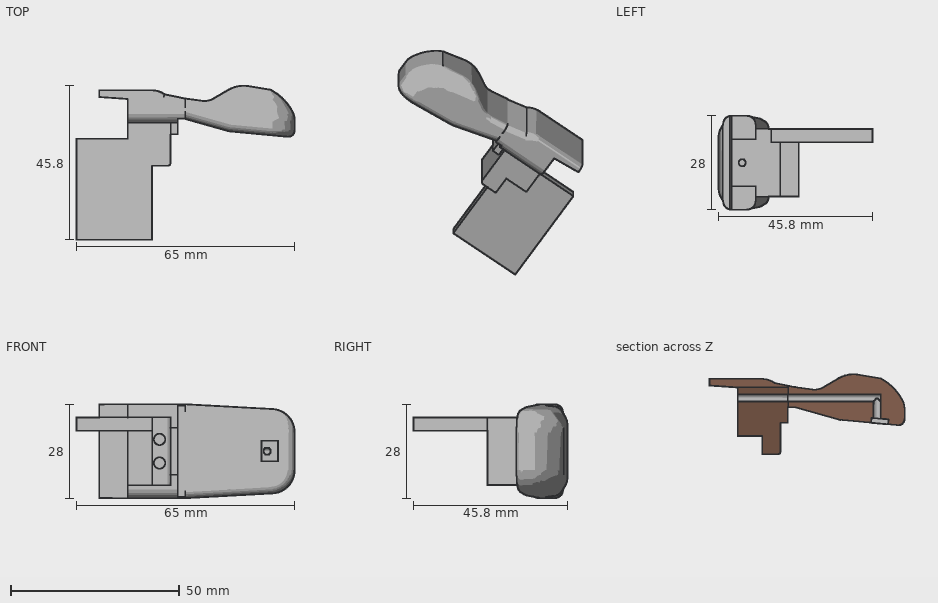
import cadquery as cq
import math


block_left = 15.25
tongue_right = 30.2
tongue_half_width = 6.95
slot_floor_y = 7.0
wire_hole_diameter = 2.1
wire_hole_y = 3.95
outlet_x = 56.7

plate_left = 6.8
back_y = 9.7
plate_edge_y = 7.6
back_bend = [(22.4, back_y), (26.3, 8.45)]
neck_x = 32.35
neck_back_y = 7.2
neck_front_y = 1.1
handle_width = 28.0
handle_half_width = handle_width / 2
root_round = 2.6

tip_x = 64.95
waist = (39.2, 6.3)
crown = (48.0, 11.4)
waist_round = 5.0
crown_round = 9.1
crown_slope = 9.4
grip_bend = (45.45, -2.6)
grip_end = (tip_x, -4.4)
grip_bend_round = 5.0
tip_half_width = 12.2
head_round = 2.0

tail_start = (tip_x, 0.8)
tail_bend = (64.35, 3.2)
tail_end = (58.45, 9.4)
tail_slope = 30.6
corner_round = 7.0

dome_radius = 16.2
dome_half_width = 14.3
dome_slope = 15.1
dome_top = (45.1, 14.9)
dome_reach = 32.5
dome_depth = 38.95
dome_edge = (53.25, 6.5, 12.35)

pocket_left = 54.95
pocket_length = 5.0
pocket_width = 6.1
pocket_depth = 1.5

tongue_front_y = -3.45
block_right = 28.05
block_half_height = 10.05
block_front_y = -7.4
step_left = 22.55
step_front_y = -12.85
step_round = 1.0
arm_back_y = -4.75
arm_front_y = -34.8
arm_thickness = 4.0

pin_diameter = 3.4
pin_x = 24.75
pin_spacing = 7.0

side_zone = 7.8
margin = 0.05
below_head_y = -13.0
above_head_y = 32.5


def box(x_range, y_range, z_range):
    """Block between two limits along each axis."""
    size = [high - low for low, high in (x_range, y_range, z_range)]
    corner = (x_range[0], y_range[0], z_range[0])
    return cq.Workplane("XY").box(*size, centered=False).translate(corner)


def full_width_sketch():
    """XY sketch plane on the -Z side of the handle."""
    return cq.Workplane("XY", origin=(0, 0, -handle_half_width))


def side_edges(body, x_range, y_range):
    """Edges that run along the two sides of a body, with their middle inside the given limits."""
    def runs_along_side(edge):
        middle = edge.positionAt(0.5)
        return (
            abs(middle.z) > side_zone
            and edge.BoundingBox().zlen < side_zone
            and x_range[0] < middle.x < x_range[1]
            and y_range[0] < middle.y < y_range[1]
        )

    return body.newObject([edge for edge in body.edges().vals() if runs_along_side(edge)])


def wire_hole():
    """Hole along X from the left face of the tongue, then along Y out to the pocket."""
    radius = wire_hole_diameter / 2
    long_run = cq.Workplane("YZ", origin=(block_left, wire_hole_y, 0)).circle(radius)
    long_run = long_run.extrude(outlet_x + radius - block_left)
    short_run = cq.Workplane("XZ", origin=(outlet_x, wire_hole_y, 0)).circle(radius)
    short_run = short_run.extrude(wire_hole_y - grip_end[1])
    return long_run.union(short_run)



def handle_root():
    """Plate, lugs and neck, before the slot is cut."""
    root = (
        full_width_sketch()
        .moveTo(plate_left, 0)
        .lineTo(plate_left, back_y)
        .lineTo(*back_bend[0])
        .tangentArcPoint(back_bend[1], relative=False)
        .lineTo(neck_x, neck_back_y)
        .lineTo(neck_x, 0)
        .close()
        .extrude(handle_width)
    )
    inner_x = (plate_left + margin, neck_x - margin)
    root = side_edges(root, inner_x, (below_head_y, above_head_y)).fillet(root_round)
    under_plate = (
        full_width_sketch()
        .polyline([
            (plate_left, 0),
            (plate_left, plate_edge_y),
            (block_left, slot_floor_y),
            (block_left, 0),
        ])
        .close()
        .extrude(handle_width)
    )
    beside_lugs = box(
        (tongue_right, neck_x), (0, neck_front_y), (-handle_half_width, handle_half_width)
    )
    return root.cut(under_plate).cut(beside_lugs)


def tapered_outline():
    """Space between the two tapered sides of the head."""
    return (
        cq.Workplane("XZ", origin=(0, above_head_y, 0))
        .polyline([
            (neck_x, -handle_half_width),
            (neck_x, handle_half_width),
            (tip_x, tip_half_width),
            (tip_x, -tip_half_width),
        ])
        .close()
        .extrude(above_head_y - below_head_y)
    )


def tail_envelope():
    """Space inside the curved tail, whose sides are blended into it by a large round."""
    line_rise = (tail_end[0] - neck_x) * math.tan(math.radians(tail_slope))
    envelope = (
        full_width_sketch()
        .moveTo(tip_x, below_head_y)
        .lineTo(*tail_start)
        .tangentArcPoint(tail_bend, relative=False)
        .tangentArcPoint(tail_end, relative=False)
        .lineTo(neck_x, tail_end[1] + line_rise)
        .lineTo(neck_x, below_head_y)
        .close()
        .extrude(handle_width)
        .intersect(tapered_outline())
    )
    beyond_neck = (neck_x + margin, tip_x + margin)
    above_bottom = (below_head_y + margin, above_head_y)
    return side_edges(envelope, beyond_neck, above_bottom).fillet(corner_round)


def dome_envelope():
    """Space below the cylindrical dome."""
    slope = math.radians(dome_slope)
    along = cq.Vector(math.cos(slope), -math.sin(slope), 0)
    start = cq.Vector(*dome_top) - along * dome_reach
    edge_drop = dome_radius - math.sqrt(dome_radius ** 2 - dome_half_width ** 2)
    return (
        cq.Workplane(cq.Plane(start, (0, 0, -1), along))
        .moveTo(-dome_half_width, -edge_drop)
        .threePointArc((0, 0), (dome_half_width, -edge_drop))
        .lineTo(dome_half_width, -dome_depth)
        .lineTo(-dome_half_width, -dome_depth)
        .close()
        .extrude(2 * dome_reach)
    )


def head_prism():
    """Side outline of the head across the full width, with its bends rounded."""
    back_drop = (tip_x - crown[0]) * math.tan(math.radians(crown_slope))
    prism = (
        full_width_sketch()
        .polyline([
            (neck_x, neck_front_y),
            (neck_x, neck_back_y),
            waist,
            crown,
            (tip_x, crown[1] - back_drop),
            grip_end,
            grip_bend,
        ])
        .close()
        .extrude(handle_width)
    )
    bends = [(waist, waist_round), (crown, crown_round), (grip_bend, grip_bend_round)]
    for corner, radius in bends:
        bend_edge = cq.selectors.NearestToPointSelector((*corner, 0))
        prism = prism.edges(bend_edge).fillet(radius)
    return prism


def handle_head():
    """Rounded grip with tapered sides, a domed back and a curved tail."""
    inner_x = (neck_x + margin, tip_x - margin)
    head = head_prism().intersect(tapered_outline())
    head = side_edges(head, inner_x, (wire_hole_y, above_head_y)).fillet(head_round)
    head = head.intersect(tail_envelope()).intersect(dome_envelope())
    x, y, z = dome_edge
    for side in (-1, 1):
        edge = cq.selectors.NearestToPointSelector((x, y, side * z))
        head = head.edges(edge).fillet(head_round)
    return side_edges(head, inner_x, (below_head_y, 0)).fillet(head_round)


def pocket():
    """Rectangular pocket square to the sloping grip face."""
    slope = math.atan2(grip_end[1] - grip_bend[1], grip_end[0] - grip_bend[0])
    middle_x = pocket_left + pocket_length / 2
    middle_y = grip_bend[1] + (middle_x - grip_bend[0]) * math.tan(slope)
    along = (math.cos(slope), math.sin(slope), 0)
    outward = (math.sin(slope), -math.cos(slope), 0)
    face = cq.Workplane(cq.Plane((middle_x, middle_y, 0), along, outward))
    return face.rect(pocket_length, pocket_width).extrude(-pocket_depth)


def make_handle():
    """Root and head in one piece, with the tongue slot, the pocket and the wire hole."""
    slot = box(
        (block_left, tongue_right),
        (0, slot_floor_y),
        (-tongue_half_width, tongue_half_width),
    )
    return handle_root().union(handle_head()).cut(slot).cut(pocket()).cut(wire_hole())



def make_pin(z):
    """Pin sunk flush into the front of the step."""
    pin = cq.Workplane("XZ", origin=(pin_x, block_front_y, z)).circle(pin_diameter / 2)
    return pin.extrude(block_front_y - step_front_y)



def make_bracket(pins):
    """Tongue, block with a forward step, and arm, with a hole for each pin."""
    tongue = box(
        (block_left, tongue_right),
        (tongue_front_y, slot_floor_y),
        (-tongue_half_width, tongue_half_width),
    )
    heights = (-block_half_height, block_half_height)
    block = box((block_left, block_right), (block_front_y, 0), heights)
    step = box((step_left, block_right), (step_front_y, block_front_y), heights)
    step = step.edges("|Z and >X and <Y").fillet(step_round)
    arm_heights = (block_half_height - arm_thickness, block_half_height)
    arm = box((0, step_left), (arm_front_y, arm_back_y), arm_heights)
    bracket = tongue.union(block).union(step).union(arm).cut(wire_hole())
    for pin in pins:
        bracket = bracket.cut(pin)
    return bracket


handle = make_handle()
pins = [make_pin(side * pin_spacing / 2) for side in (-1, 1)]
bracket = make_bracket(pins)

result = cq.Compound.makeCompound([
    handle.solids().val(),
    bracket.solids().val(),
    *[pin.val() for pin in pins],
])